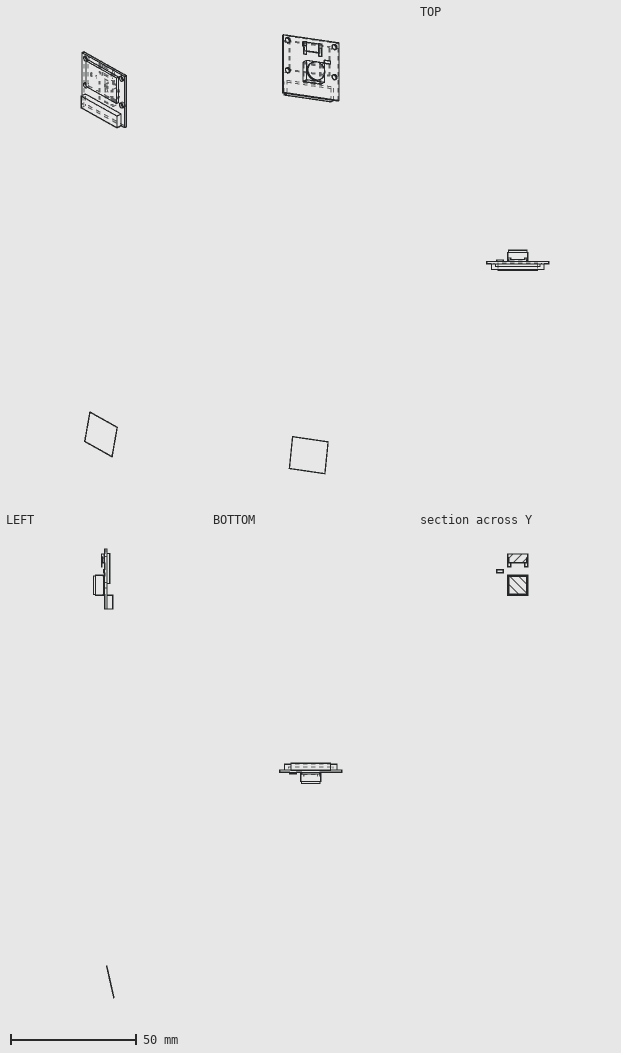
import cadquery as cq
import math


board_width = 25.0
board_height = 24.0
board_thickness = 1.0
board_top = 179.3
board_bottom = board_top - board_height
board_front = -board_thickness

hole_diameter = 2.2
hole_inset = 2.0
hole_row_spacing = 12.5
hole_x = board_width / 2 - hole_inset
upper_hole_z = board_top - hole_inset
lower_hole_z = upper_hole_z - hole_row_spacing

cover_width = 18.0
cover_height = 12.0
cover_thickness = 1.1
cover_top = board_top - 1.8

cable_connector_width = 21.0
cable_connector_height = 5.5
cable_connector_depth = 2.3

lens_z = lower_hole_z
lens_base_side = 7.2
lens_base_depth = 0.5
lens_housing_side = 8.0
lens_back = 3.5
barrel_diameter = 7.5
barrel_length = 0.9

latch_connector_width = 7.2
latch_connector_depth = 0.8
latch_connector_top = board_top - 2.0
latch_connector_height = 3.5
latch_arm_span = lens_housing_side
latch_arm_width = 1.3
latch_arm_back = 1.35
latch_arm_thickness = 0.4
latch_arm_length = 5.2
latch_root_front = 0.4
latch_root_height = 1.6

chip_width = 2.7
chip_height = 1.3
chip_depth = 0.5
chip_left = -8.5
chip_bottom = 169.8

sheet_width = 16.0
sheet_length = 13.0
sheet_thickness = 0.2
sheet_tilt = 12.7
sheet_front = -3.8


def block(width, x_center, y_range, z_range):
    """Box of the given width about x_center, between two Y values and two Z values."""
    depth = y_range[1] - y_range[0]
    height = z_range[1] - z_range[0]
    return (
        cq.Workplane("XY")
        .box(width, depth, height, centered=(True, False, False))
        .translate((x_center, y_range[0], z_range[0]))
    )


def make_board():
    board = block(board_width, 0, (board_front, 0), (board_bottom, board_top))
    hole_centers = [(x, z) for x in (-hole_x, hole_x) for z in (lower_hole_z, upper_hole_z)]
    holes = cq.Workplane("XZ").pushPoints(hole_centers).circle(hole_diameter / 2).extrude(board_thickness)
    return board.cut(holes)


def make_cover_plate():
    return block(
        cover_width,
        0,
        (board_front - cover_thickness, board_front),
        (cover_top - cover_height, cover_top),
    )


def make_cable_connector():
    return block(
        cable_connector_width,
        0,
        (board_front - cable_connector_depth, board_front),
        (board_bottom, board_bottom + cable_connector_height),
    )


def make_lens_module():
    """Square housing on a slightly narrower base, with a round barrel on its back."""
    base_z = (lens_z - lens_base_side / 2, lens_z + lens_base_side / 2)
    housing_z = (lens_z - lens_housing_side / 2, lens_z + lens_housing_side / 2)
    base = block(lens_base_side, 0, (0, lens_base_depth), base_z)
    housing = block(lens_housing_side, 0, (lens_base_depth, lens_back), housing_z)
    barrel = (
        cq.Workplane("XZ", origin=(0, lens_back, lens_z))
        .circle(barrel_diameter / 2)
        .extrude(-barrel_length)
    )
    return base.union(housing).union(barrel)


def make_latch_connector():
    """Low body with a latch arm at each end, rooted at the top and hanging clear of the board."""
    top = latch_connector_top
    connector = block(
        latch_connector_width,
        0,
        (0, latch_connector_depth),
        (top - latch_connector_height, top),
    )
    arm_x = (latch_arm_span - latch_arm_width) / 2
    for x in (-arm_x, arm_x):
        root = block(
            latch_arm_width,
            x,
            (latch_root_front, latch_arm_back),
            (top - latch_root_height, top),
        )
        arm = block(
            latch_arm_width,
            x,
            (latch_arm_back - latch_arm_thickness, latch_arm_back),
            (top - latch_arm_length, top),
        )
        connector = connector.union(root).union(arm)
    return connector


def make_chip():
    return block(
        chip_width,
        chip_left + chip_width / 2,
        (0, chip_depth),
        (chip_bottom, chip_bottom + chip_height),
    )


def make_sheet():
    """Thin sheet leaning back, with its lowest edge at z = 0."""
    lift = sheet_thickness * math.sin(math.radians(sheet_tilt))
    return (
        block(sheet_width, 0, (0, sheet_thickness), (0, sheet_length))
        .rotate((0, 0, 0), (1, 0, 0), -sheet_tilt)
        .translate((0, sheet_front, lift))
    )


board = make_board()
cover_plate = make_cover_plate()
cable_connector = make_cable_connector()
lens_module = make_lens_module()
latch_connector = make_latch_connector()
chip = make_chip()
sheet = make_sheet()

result = cq.Compound.makeCompound(
    [
        board.val(),
        cover_plate.val(),
        cable_connector.val(),
        lens_module.val(),
        latch_connector.val(),
        chip.val(),
        sheet.val(),
    ]
)